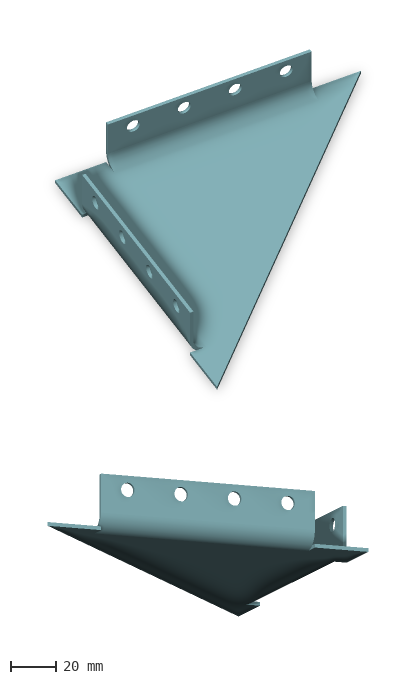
import cadquery as cq

leg = 152.5
height = 25.5
thickness = 1.7
bend_inner_radius = 6.2
hole_diameter = 6.4
hole_count = 4

bend_outer_radius = bend_inner_radius + thickness
flange_margin = leg / 6
flange_length = leg - 2 * flange_margin
hole_pitch = flange_length / hole_count
hole_height = height - hole_pitch / 4


def make_plate():
    """Right-angled triangular sheet with a relief where each flange bends up."""
    plate = cq.Workplane("XY").polyline([(0, 0), (leg, 0), (0, leg)]).close().extrude(thickness)
    front_relief = cq.Workplane("XY").box(
        flange_length, bend_outer_radius, thickness, centered=False
    ).translate((flange_margin, 0, 0))
    return plate.cut(front_relief).cut(swap_x_and_y(front_relief))


def make_front_flange():
    """Flange along the X side: a quarter-round bend, an upright wall and a row of holes."""
    flange = (
        cq.Workplane("YZ", origin=(flange_margin, 0, 0))
        .moveTo(bend_outer_radius, 0)
        .radiusArc((0, bend_outer_radius), bend_outer_radius)
        .lineTo(0, height)
        .lineTo(thickness, height)
        .lineTo(thickness, bend_outer_radius)
        .radiusArc((bend_outer_radius, thickness), -bend_inner_radius)
        .close()
        .extrude(flange_length)
    )
    hole_centers = [
        (flange_margin + (i + 0.5) * hole_pitch, hole_height) for i in range(hole_count)
    ]
    holes = (
        cq.Workplane("XZ")
        .pushPoints(hole_centers)
        .circle(hole_diameter / 2)
        .extrude(-thickness)
    )
    return flange.cut(holes)


def swap_x_and_y(body):
    """Mirror a body across the vertical plane X = Y."""
    return body.mirror("YZ").rotate((0, 0, 0), (0, 0, 1), -90)


front_flange = make_front_flange()
result = make_plate().union(front_flange).union(swap_x_and_y(front_flange))